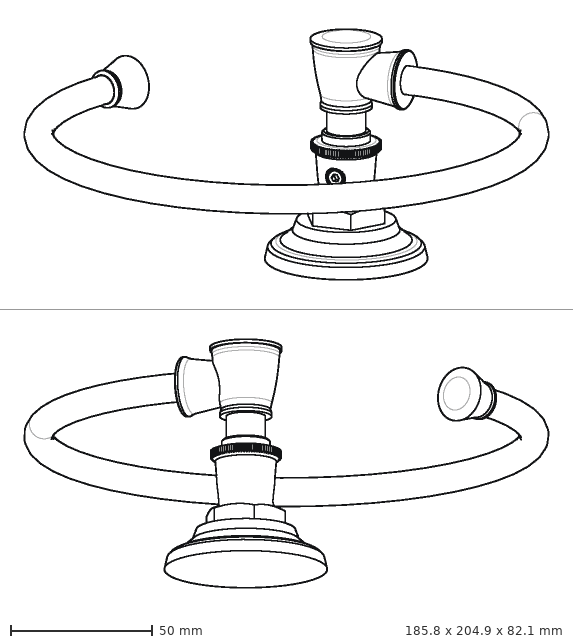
import cadquery as cq
import math


overall_length = 204.9
ring_outer_diameter = 185.8

flange_radius = 28.9
flange_edge_radius = 27.9
flange_edge_height = 4.3
flange_shoulder_radius = 26.6
flange_shoulder_height = 5.5
flange_bead_radius = 25.0
flange_bead_height = 6.4
flange_slope_radius = 23.4
flange_slope_height = 6.8
flange_neck_radius = 19.0
flange_neck_height = 10.5
flange_top_radius = 17.6
flange_height = 14.3

hex_across_flats = 25.6
hex_corner_top = 20.0
barrel_apron_radius = 11.9
barrel_apron_height = 21.5
barrel_cove_radius = 10.2
barrel_cove_height = 22.5
barrel_waist_radius = 9.6
barrel_waist_height = 24.2
barrel_middle_radius = 9.8
barrel_middle_height = 27.7
barrel_top_radius = 10.9
collar_bottom = 39.1
collar_radius = 12.5
collar_top = 43.5
collar_bevel = 1.5
collar_top_radius = 10.5
collar_edge_drop = 0.6
knurl_count = 80
knurl_root_radius = 11.9
shoulder_radius = 8.6
shoulder_top = 47.0
shoulder_bevel = 0.6
neck_radius = 7.0

screw_height = 32.0
screw_radius = 3.0
screw_bevel = 0.5
screw_length = 6.1
screw_face = 9.8
screw_mouth_radius = 3.7
screw_mouth_floor = 9.5
screw_socket_flats = 2.5
screw_socket_depth = 2.5

head_bottom = 55.5
head_foot_radius = 9.2
head_groove_radius = 8.8
head_groove_bottom = 56.7
head_groove_top = 58.0
head_cone_bottom = 60.5
head_cone_top = 77.0
head_cone_bulge = 0.5
head_cone_top_radius = 11.9
head_band_bottom = 78.3
head_band_radius = 12.0
head_lip_bottom = 79.5
head_lip_radius = 12.7
head_lip_top = 80.7
head_dome_radius = 8.6
head_dome_foot = 81.5
head_top = 82.1

ring_height = 68.0
ring_tube_radius = 5.1
ring_radius = ring_outer_diameter / 2 - ring_tube_radius
ring_center_x = 13.0
ring_center_y = flange_radius + ring_outer_diameter / 2 - overall_length
ring_blend_angle = 30.0
ring_end_angle = 161.0
ring_root_x = 16.4
boss_root_x = 6.1
boss_root_radius = 7.5
boss_cone_x = 20.0
boss_cone_radius = 9.8
boss_rim_x = 22.0
boss_rim_radius = 10.7
boss_end_x = 23.1
boss_edge_bevel = 0.5

cap_inner_radius = 5.3
cap_bead_radius = 6.8
cap_bead_start = 0.8
cap_bead_end = 1.6
cap_groove_radius = 6.4
cap_cone_start = 2.7
cap_rim_height = 13.5
cap_rim_radius = 9.6
cap_dome_radius = 6.0
cap_dome_foot = 15.2
cap_tip = 16.4


hex_corner_radius = hex_across_flats / math.sqrt(3)


def revolve_z(outline):
    """Turn a closed outline of (radius, height) around the Z axis."""
    return outline.close().revolve(360, (0, 0, 0), (0, 1, 0))


def dome_sphere_radius(foot_radius, rise):
    """Radius of the sphere whose cap has the given foot radius and rise."""
    return (foot_radius ** 2 + rise ** 2) / (2 * rise)


def make_flange():
    outline = (
        cq.Workplane("XZ")
        .lineTo(flange_radius, 0)
        .lineTo(flange_edge_radius, flange_edge_height)
        .lineTo(flange_shoulder_radius, flange_shoulder_height)
        .lineTo(flange_bead_radius, flange_bead_height)
        .lineTo(flange_slope_radius, flange_slope_height)
        .lineTo(flange_neck_radius, flange_neck_height)
        .lineTo(flange_top_radius, flange_height)
        .lineTo(0, flange_height)
    )
    return revolve_z(outline)


def make_barrel():
    """Hexagonal foot and barrel: a flared turning, trimmed to a hexagon below."""
    apron_direction = (barrel_apron_radius - hex_corner_radius, barrel_apron_height - hex_corner_top)
    barrel_direction = (barrel_top_radius - barrel_middle_radius, collar_bottom - barrel_middle_height)
    turning = revolve_z(
        cq.Workplane("XZ")
        .moveTo(0, flange_height)
        .lineTo(hex_corner_radius, flange_height)
        .lineTo(hex_corner_radius, hex_corner_top)
        .spline(
            [
                (barrel_apron_radius, barrel_apron_height),
                (barrel_cove_radius, barrel_cove_height),
                (barrel_waist_radius, barrel_waist_height),
                (barrel_middle_radius, barrel_middle_height),
                (barrel_top_radius, collar_bottom),
            ],
            tangents=[apron_direction, barrel_direction],
            includeCurrent=True,
        )
        .lineTo(0, collar_bottom)
    )
    hexagon = (
        cq.Workplane("XY", origin=(0, 0, flange_height))
        .polygon(6, 2 * hex_corner_radius)
        .extrude(collar_bottom - flange_height)
    )
    return turning.intersect(hexagon)


def make_collar():
    """Collar with a straight knurl of V-shaped teeth and bevelled edges."""
    tooth_points = []
    for i in range(2 * knurl_count):
        radius = collar_radius if i % 2 == 0 else knurl_root_radius
        angle = math.pi * i / knurl_count
        tooth_points.append((radius * math.cos(angle), radius * math.sin(angle)))
    knurl = (
        cq.Workplane("XY", origin=(0, 0, collar_bottom))
        .polyline(tooth_points)
        .close()
        .extrude(collar_top - collar_bottom)
    )
    turning = revolve_z(
        cq.Workplane("XZ")
        .moveTo(0, collar_bottom)
        .lineTo(barrel_top_radius, collar_bottom)
        .lineTo(collar_radius, collar_bottom + collar_bevel)
        .lineTo(collar_radius, collar_top - collar_edge_drop)
        .lineTo(collar_top_radius, collar_top)
        .lineTo(0, collar_top)
    )
    return knurl.intersect(turning)


def make_neck():
    """Shoulder ring on the collar and the neck that carries the head."""
    return revolve_z(
        cq.Workplane("XZ")
        .moveTo(0, collar_top)
        .lineTo(shoulder_radius, collar_top)
        .lineTo(shoulder_radius, shoulder_top - shoulder_bevel)
        .lineTo(shoulder_radius - shoulder_bevel, shoulder_top)
        .lineTo(neck_radius, shoulder_top)
        .lineTo(neck_radius, head_bottom)
        .lineTo(0, head_bottom)
    )


def rod_along_y(radius, near, far):
    """Rod on the screw axis between two distances from the post axis, towards -Y."""
    return (
        cq.Workplane("XZ", origin=(0, -near, screw_height))
        .circle(radius)
        .extrude(far - near)
    )


def make_post():
    hole = rod_along_y(screw_radius, screw_face - screw_length, collar_radius)
    mouth = rod_along_y(screw_mouth_radius, screw_mouth_floor, collar_radius)
    body = make_barrel().union(make_collar()).union(make_neck())
    return body.cut(hole).cut(mouth)


def make_set_screw():
    rod = rod_along_y(screw_radius, screw_face - screw_length, screw_face)
    rod = rod.faces("<Y").chamfer(screw_bevel)
    socket = (
        cq.Workplane("XZ", origin=(0, -screw_face + screw_socket_depth, screw_height))
        .polygon(6, 2 * screw_socket_flats / math.sqrt(3))
        .extrude(screw_socket_depth)
    )
    return rod.cut(socket)


def make_ring_tube():
    """Round bar along the lead-in arc and the main arc."""
    blend = math.radians(ring_blend_angle)
    end = math.radians(ring_end_angle - 360)

    lead_radius = (-ring_center_y - ring_radius * math.sin(blend)) / (1 - math.sin(blend))
    lead_center_x = ring_center_x + (ring_radius - lead_radius) * math.cos(blend)

    def on_lead(angle):
        return (lead_center_x + lead_radius * math.cos(angle),
                -lead_radius + lead_radius * math.sin(angle))

    def on_ring(angle):
        return (ring_center_x + ring_radius * math.cos(angle),
                ring_center_y + ring_radius * math.sin(angle))

    path = (
        cq.Workplane("XY", origin=(0, 0, ring_height))
        .moveTo(ring_root_x, 0)
        .lineTo(lead_center_x, 0)
        .threePointArc(on_lead((math.pi / 2 + blend) / 2), on_ring(blend))
        .threePointArc(on_ring((blend + end) / 2), on_ring(end))
    )
    return (
        cq.Workplane("YZ", origin=(ring_root_x, 0, ring_height))
        .circle(ring_tube_radius)
        .sweep(path)
    )


def make_end_cap():
    """Flared, domed cap, turned about Y and then swung onto the end of the ring."""
    cap = (
        cq.Workplane("XY")
        .lineTo(cap_inner_radius, 0)
        .lineTo(cap_bead_radius, cap_bead_start)
        .lineTo(cap_bead_radius, cap_bead_end)
        .lineTo(cap_groove_radius, cap_cone_start)
        .lineTo(cap_rim_radius, cap_rim_height)
        .lineTo(cap_dome_radius, cap_dome_foot)
        .radiusArc((0, cap_tip), -dome_sphere_radius(cap_dome_radius, cap_tip - cap_dome_foot))
        .close()
        .revolve(360, (0, 0, 0), (0, 1, 0))
    )
    return (
        cap.translate((-ring_radius, 0, 0))
        .rotate((0, 0, 0), (0, 0, 1), ring_end_angle - 180)
        .translate((ring_center_x, ring_center_y, ring_height))
    )


def make_ring():
    return make_ring_tube().union(make_end_cap())


def make_boss():
    """Flared socket on the +X side of the head, turned about the ring's root axis."""
    return (
        cq.Workplane("XY", origin=(0, 0, ring_height))
        .moveTo(boss_root_x, 0)
        .lineTo(boss_root_x, boss_root_radius)
        .lineTo(boss_cone_x, boss_cone_radius)
        .lineTo(boss_rim_x, boss_rim_radius)
        .lineTo(boss_end_x - boss_edge_bevel, boss_rim_radius)
        .lineTo(boss_end_x, boss_rim_radius - boss_edge_bevel)
        .lineTo(boss_end_x, 0)
        .close()
        .revolve(360, (0, 0, 0), (1, 0, 0))
    )


def make_head(ring):
    outline = (
        cq.Workplane("XZ")
        .moveTo(0, head_bottom)
        .lineTo(head_foot_radius, head_bottom)
        .lineTo(head_foot_radius, head_groove_bottom)
        .lineTo(head_groove_radius, head_groove_top)
        .lineTo(head_foot_radius, head_cone_bottom)
        .sagittaArc((head_cone_top_radius, head_cone_top), -head_cone_bulge)
        .lineTo(head_band_radius, head_band_bottom)
        .lineTo(head_band_radius, head_lip_bottom)
        .lineTo(head_lip_radius, head_lip_bottom)
        .lineTo(head_lip_radius, head_lip_top)
        .lineTo(head_dome_radius, head_dome_foot)
        .radiusArc((0, head_top), -dome_sphere_radius(head_dome_radius, head_top - head_dome_foot))
    )
    return revolve_z(outline).union(make_boss()).cut(ring)


flange = make_flange()
post = make_post()
set_screw = make_set_screw()
ring = make_ring()
head = make_head(ring)

result = cq.Compound.makeCompound([
    flange.val(),
    post.val(),
    set_screw.val(),
    head.val(),
    ring.val(),
])